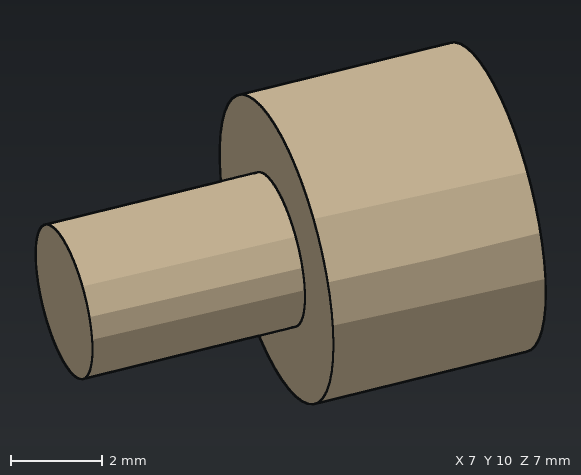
import cadquery as cq

total_length = 10.0
head_diameter = 7.0
head_length = total_length / 2
shank_diameter = head_diameter / 2
shank_length = total_length - head_length


def cylinder_along_y(diameter, start_y, length):
    """Cylinder centred on the Y axis, running from start_y toward +Y."""
    base = cq.Workplane("XZ", origin=(0, start_y, 0))
    return base.circle(diameter / 2).extrude(-length)


shank = cylinder_along_y(shank_diameter, -shank_length, shank_length)
head = cylinder_along_y(head_diameter, 0, head_length)

result = head.union(shank)